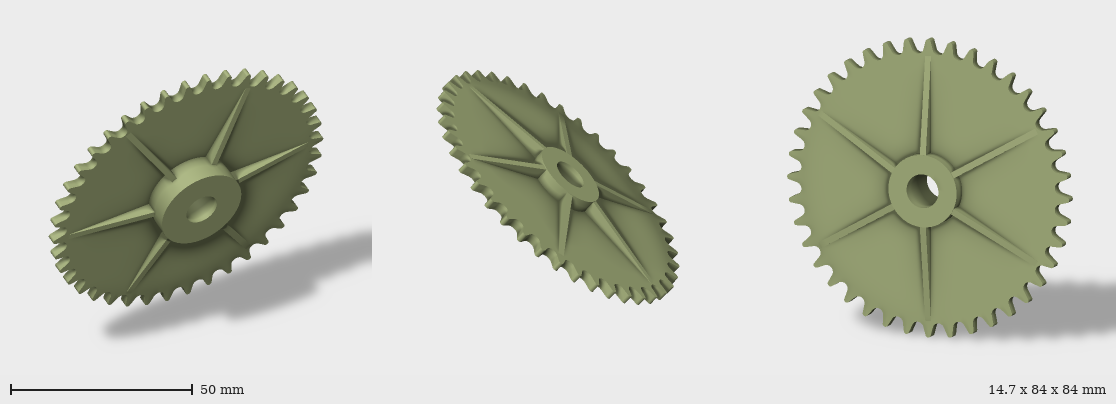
import cadquery as cq
import math

outer_radius = 42.0
plate_thickness = 2.8

tooth_count = 40
gap_radius = 1.8
gap_root_radius = 37.9
flank_angle = math.radians(20)
tip_fillet = 0.75

front_hub_diameter = 20.35
front_hub_height = 4.0
back_hub_diameter = 24.7
back_hub_height = 7.9
bore_diameter = 9.5

ribs_per_side = 6
rib_width = 1.8
rib_reach = 37.3
rib_slope = math.radians(8)


def disc(start_x, diameter, length):
    """Cylinder on the X axis, running from start_x toward +X."""
    return cq.Workplane("YZ", origin=(start_x, 0, 0)).circle(diameter / 2).extrude(length)


def tooth_gap():
    """Cutter for one gap, centred on +Z and open past the rim."""
    centre_z = gap_root_radius + gap_radius
    tangent_y = gap_radius * math.cos(flank_angle)
    tangent_z = centre_z - gap_radius * math.sin(flank_angle)
    open_z = outer_radius + gap_radius
    open_y = tangent_y + (open_z - tangent_z) * math.tan(flank_angle)
    return (
        cq.Workplane("YZ")
        .moveTo(-open_y, open_z)
        .lineTo(-tangent_y, tangent_z)
        .threePointArc((0, gap_root_radius), (tangent_y, tangent_z))
        .lineTo(open_y, open_z)
        .close()
        .extrude(plate_thickness)
    )


def toothed_plate():
    """Disc with teeth centred on the Y and Z axes and rounded tip corners."""
    pitch_angle = 360 / tooth_count
    plate = disc(0, 2 * outer_radius, plate_thickness).rotate((0, 0, 0), (1, 0, 0), pitch_angle / 2)
    gap = tooth_gap()
    for i in range(tooth_count):
        plate = plate.cut(gap.rotate((0, 0, 0), (1, 0, 0), (i + 0.5) * pitch_angle))

    rim_margin = 0.1
    tip_corners = plate.edges("|X").filter(
        lambda edge: math.hypot(edge.Center().y, edge.Center().z) > outer_radius - rim_margin
    )
    return tip_corners.fillet(tip_fillet)


def ribs(face_x, direction, hub_diameter, first_angle):
    """Ring of ribs on the plate face at face_x, rising along X in the given direction."""
    hub_z = math.sqrt((hub_diameter / 2) ** 2 - (rib_width / 2) ** 2)
    height = (rib_reach - hub_z) * math.tan(rib_slope)
    buried_z = (bore_diameter + hub_diameter) / 4
    rib = (
        cq.Workplane("XZ", origin=(0, rib_width / 2, 0))
        .polyline([
            (face_x, buried_z),
            (face_x, rib_reach),
            (face_x + direction * height, hub_z),
            (face_x + direction * height, buried_z),
        ])
        .close()
        .extrude(rib_width)
    )
    pitch_angle = 360 / ribs_per_side
    ring = cq.Workplane("YZ")
    for i in range(ribs_per_side):
        ring = ring.add(rib.rotate((0, 0, 0), (1, 0, 0), first_angle + i * pitch_angle))
    return ring.combine()


result = toothed_plate()
result = result.union(disc(-front_hub_height, front_hub_diameter, front_hub_height))
result = result.union(disc(plate_thickness, back_hub_diameter, back_hub_height))
result = result.union(ribs(0, -1, front_hub_diameter, 0))
result = result.union(ribs(plate_thickness, 1, back_hub_diameter, 180 / ribs_per_side))
total_length = front_hub_height + plate_thickness + back_hub_height
result = result.cut(disc(-front_hub_height, bore_diameter, total_length))